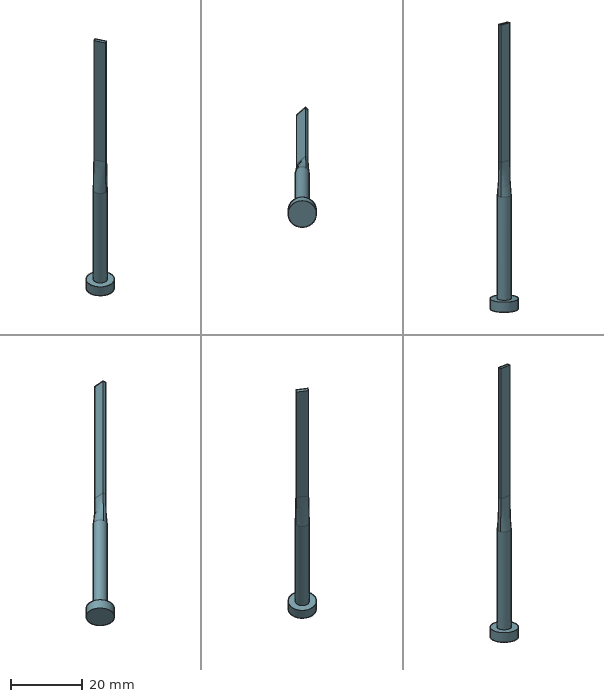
import cadquery as cq
import math

total_length = 83.0
head_diameter = 8.0
head_height = 3.0

shank_diameter = 4.0
shank_top = 33.0

blade_width = 3.5
blade_thickness = 1.0
blade_length = 40.0

blade_bottom = total_length - blade_length


def cylinder(diameter, bottom, top):
    """Upright cylinder centred on the Z axis."""
    return cq.Workplane("XY").workplane(offset=bottom).circle(diameter / 2).extrude(top - bottom)


def transition():
    """Loft from the shank circle, split into four arcs, to the blade rectangle."""
    radius = shank_diameter / 2
    corner_angle = math.atan2(blade_thickness, blade_width)
    x = radius * math.cos(corner_angle)
    y = radius * math.sin(corner_angle)
    return (
        cq.Workplane("XY")
        .workplane(offset=shank_top)
        .moveTo(x, y)
        .threePointArc((0, radius), (-x, y))
        .threePointArc((-radius, 0), (-x, -y))
        .threePointArc((0, -radius), (x, -y))
        .threePointArc((radius, 0), (x, y))
        .close()
        .workplane(offset=blade_bottom - shank_top)
        .moveTo(blade_width / 2, blade_thickness / 2)
        .lineTo(-blade_width / 2, blade_thickness / 2)
        .lineTo(-blade_width / 2, -blade_thickness / 2)
        .lineTo(blade_width / 2, -blade_thickness / 2)
        .close()
        .loft(ruled=True)
    )


def blade():
    """Flat rectangular blade up to the tip."""
    return (
        cq.Workplane("XY")
        .workplane(offset=blade_bottom)
        .rect(blade_width, blade_thickness)
        .extrude(blade_length)
    )


head = cylinder(head_diameter, 0, head_height)
shank = cylinder(shank_diameter, head_height, shank_top)
result = head.union(shank).union(transition()).union(blade())